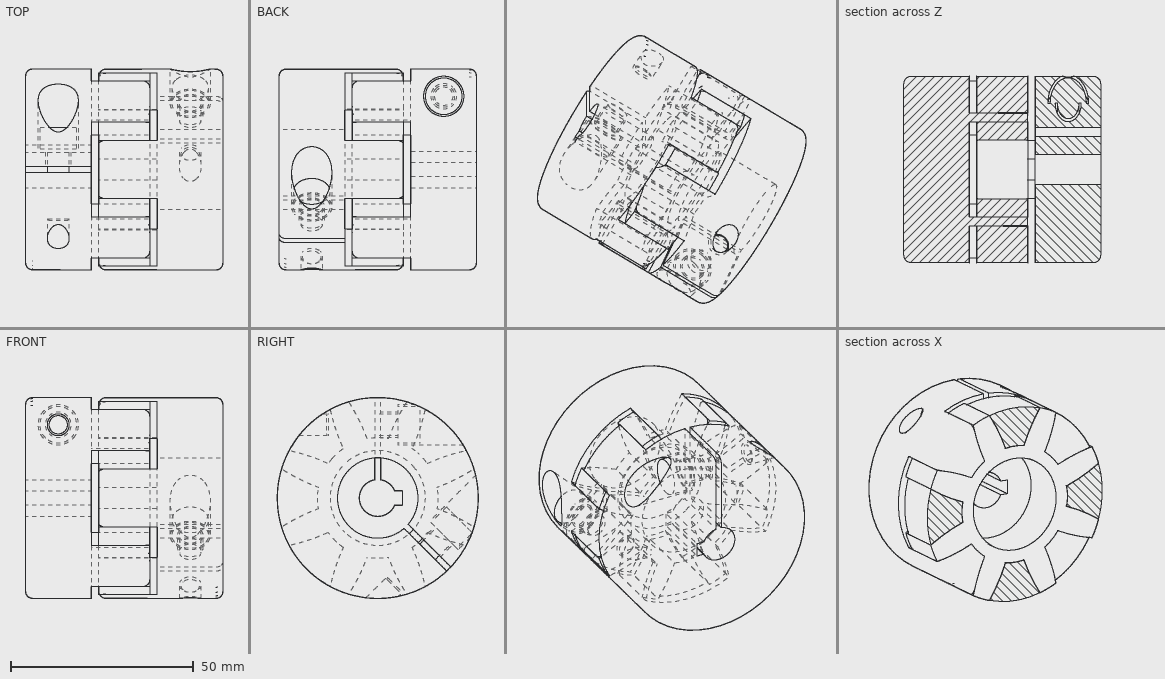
import cadquery as cq
import math


outer_radius = 27.5
total_length = 54.0
hub_body_length = 18.0
jaw_tip_x = 34.0
edge_fillet = 2.0
spider_start_x = total_length - jaw_tip_x

jaws_per_hub = 4
jaw_pitch = 360 / jaws_per_hub
jaw_inner_radius = 16.5
jaw_root_half_width = 2.9
jaw_outer_half_width = 8.0
jaw_side_radius = 49.5

cut_overshoot = 2.75

spider_bore_diameter = 26.0

first_bore_diameter = 10.0
second_bore_diameter = 22.0
second_hub_turn = -1.5 * jaw_pitch
keyway_width = 3.9
keyway_depth = 6.7

slot_width = 1.6
screw_x = 8.95
screw_z = 20.0
screw_diameter = 6.0
clearance_diameter = 7.0
counterbore_diameter = 11.0
head_diameter = 10.0
head_top_y = 11.55
head_height = 6.0
head_seat_y = head_top_y - head_height
screw_tip_y = -13.95
tip_chamfer = 0.5


def x_cylinder(diameter, start, end):
    return cq.Workplane("YZ", origin=(start, 0, 0)).circle(diameter / 2).extrude(end - start)


def screw_axis_cylinder(diameter, start, end):
    """Cylinder on the clamp screw axis, from start to end along +Y."""
    plane = cq.Plane(origin=(screw_x, start, screw_z), xDir=(1, 0, 0), normal=(0, 1, 0))
    return cq.Workplane(plane).circle(diameter / 2).extrude(end - start)


def jaw_prism(angle, start, end):
    """Jaw section at an angle from +Y towards +Z; it runs on past the outer diameter to cut cleanly."""
    root = math.sqrt(jaw_inner_radius**2 - jaw_root_half_width**2)
    tip = math.sqrt(outer_radius**2 - jaw_outer_half_width**2)
    beyond = outer_radius + 2 * cut_overshoot
    return (
        cq.Workplane("YZ", origin=(start, 0, 0))
        .moveTo(root, -jaw_root_half_width)
        .radiusArc((tip, -jaw_outer_half_width), jaw_side_radius)
        .lineTo(beyond, -jaw_outer_half_width)
        .lineTo(beyond, jaw_outer_half_width)
        .lineTo(tip, jaw_outer_half_width)
        .radiusArc((root, jaw_root_half_width), jaw_side_radius)
        .threePointArc((jaw_inner_radius, 0), (root, -jaw_root_half_width))
        .close()
        .extrude(end - start)
        .rotate((0, 0, 0), (1, 0, 0), angle)
    )


def jaw_spaces():
    """Everything that is cut away beyond the hub body to leave the jaws standing."""
    end = jaw_tip_x + cut_overshoot
    spaces = x_cylinder(2 * (outer_radius + cut_overshoot), hub_body_length, end)
    for i in range(jaws_per_hub):
        spaces = spaces.cut(jaw_prism((i + 0.5) * jaw_pitch, hub_body_length, end))
    return spaces


def clamp_screw():
    head = screw_axis_cylinder(head_diameter, head_seat_y, head_top_y)
    shank = screw_axis_cylinder(screw_diameter, screw_tip_y, head_seat_y).faces("<Y").chamfer(tip_chamfer)
    return head.union(shank)


def clamp_hub(bore_diameter):
    """Hub with its end face at X = 0, its clamp slot at +Z and its screw tightened into it."""
    hub = x_cylinder(2 * outer_radius, 0, jaw_tip_x).faces("<X or >X").edges().fillet(edge_fillet)
    hub = hub.cut(jaw_spaces())

    hub = hub.cut(x_cylinder(bore_diameter, 0, hub_body_length))
    slot = cq.Workplane("XY").box(hub_body_length, slot_width, outer_radius, centered=(False, True, False))
    hub = hub.cut(slot)

    hub = hub.cut(screw_axis_cylinder(counterbore_diameter, head_seat_y, outer_radius))
    hub = hub.cut(screw_axis_cylinder(clearance_diameter, 0, head_seat_y))
    hub = hub.cut(screw_axis_cylinder(screw_diameter, -outer_radius, 0))
    return hub.union(clamp_screw())


def make_first_hub():
    keyway = cq.Workplane("XY").box(
        hub_body_length, keyway_depth, keyway_width, centered=(False, False, True)
    )
    return clamp_hub(first_bore_diameter).cut(keyway)


def make_second_hub():
    """Faces the first hub and is turned half a jaw pitch out of step with it."""
    middle = total_length / 2
    half_turn = clamp_hub(second_bore_diameter).rotate((middle, 0, 0), (middle, 0, 1), 180)
    return half_turn.rotate((0, 0, 0), (1, 0, 0), second_hub_turn)


def make_spider():
    """Ring with eight legs that fill the spaces between the jaws of both hubs."""
    spider = x_cylinder(2 * outer_radius, spider_start_x, jaw_tip_x)
    spider = spider.cut(x_cylinder(spider_bore_diameter, spider_start_x, jaw_tip_x))
    for i in range(2 * jaws_per_hub):
        spider = spider.cut(jaw_prism(i * jaw_pitch / 2, spider_start_x, jaw_tip_x))
    return spider


first_hub = make_first_hub()
second_hub = make_second_hub()
spider = make_spider()

result = cq.Compound.makeCompound([first_hub.val(), second_hub.val(), spider.val()])